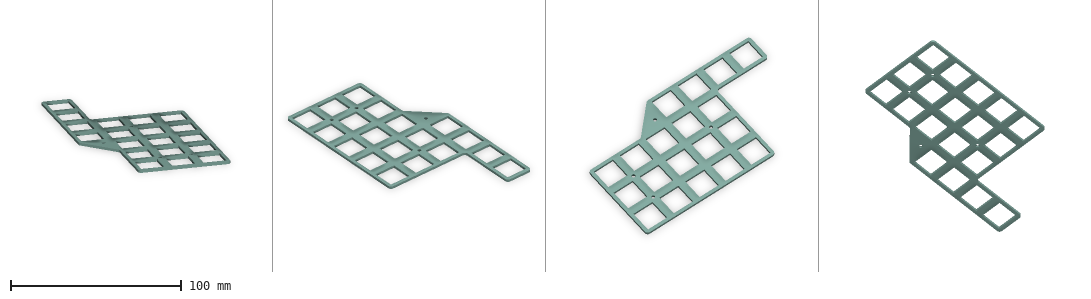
import cadquery as cq

LENGTH = 133.22
WIDTH = 75.44
THICKNESS = 1.6
CORNER_RADIUS = 2.0

PITCH = 19.05
CUTOUT = 14.0
COLUMNS = 7
ROWS = 4
FIRST_MAIN_COLUMN = 2
BOTTOM_ROW_KEYS = 4
LEFT_MARGIN = (PITCH - CUTOUT) / 2
BOTTOM_MARGIN = (WIDTH - (ROWS - 1) * PITCH - CUTOUT) / 2
FIRST_KEY_X = LEFT_MARGIN + CUTOUT / 2
FIRST_KEY_Y = BOTTOM_MARGIN + CUTOUT / 2

MAIN_LEFT = 38.44
MAIN_BOTTOM = 19.0
ARM_TOP = 18.39
SLOPE_START_X = 75.66

HOLE_DIAMETER = 2.3
LOWER_HOLE = (80.0, 13.6)


def key_center(column, row):
    """Centre of a key; half steps fall midway between neighbouring keys."""
    return (FIRST_KEY_X + column * PITCH, FIRST_KEY_Y + row * PITCH)


def plate_blank():
    """Stepped plate with rounded corners and a 45 degree edge at the lower right."""
    slope_end_x = SLOPE_START_X + MAIN_BOTTOM
    outline = [
        (0, 0),
        (SLOPE_START_X, 0),
        (slope_end_x, MAIN_BOTTOM),
        (LENGTH, MAIN_BOTTOM),
        (LENGTH, WIDTH),
        (MAIN_LEFT, WIDTH),
        (MAIN_LEFT, ARM_TOP),
        (0, ARM_TOP),
    ]
    blank = cq.Workplane("XY").polyline(outline).close().extrude(THICKNESS)
    return blank.edges("|Z").fillet(CORNER_RADIUS)


def key_positions():
    """Bottom row starting at the left end, then the upper rows on the right."""
    positions = [key_center(column, 0) for column in range(BOTTOM_ROW_KEYS)]
    for row in range(1, ROWS):
        for column in range(FIRST_MAIN_COLUMN, COLUMNS):
            positions.append(key_center(column, row))
    return positions


def hole_positions():
    """Three holes where four keys meet and one beside the bottom row."""
    return [
        key_center(2.5, 1.5),
        key_center(5.5, 1.5),
        key_center(5.5, 2.5),
        LOWER_HOLE,
    ]


def key_cutters():
    """Square bars through the plate, one for each key."""
    return cq.Workplane("XY").pushPoints(key_positions()).rect(CUTOUT, CUTOUT).extrude(THICKNESS)


def hole_cutters():
    """Round bars through the plate, one for each screw hole."""
    return cq.Workplane("XY").pushPoints(hole_positions()).circle(HOLE_DIAMETER / 2).extrude(THICKNESS)


result = plate_blank().cut(key_cutters()).cut(hole_cutters())